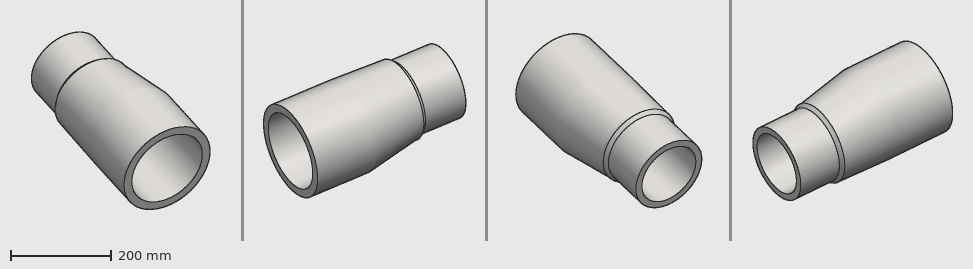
import cadquery as cq

total_length = 373.0
large_diameter = 200.0
small_diameter = 160.0
collar_diameter = 174.0
small_bore = 131.0

small_length = 96.2
chamfer_length = 8.2
collar_length = 7.0
large_length = 138.8

large_bore = large_diameter * small_bore / small_diameter

small_axis_y = -(large_diameter - collar_diameter) / 2

small_end = -total_length / 2
chamfer_start = small_end + small_length
collar_start = chamfer_start + chamfer_length
taper_start = collar_start + collar_length
large_end = total_length / 2
taper_end = large_end - large_length


def pipe_section(x_start, x_end, start_diameter, end_diameter, start_y, end_y):
    """Solid between two circles, each centred at its own Y."""
    return (
        cq.Workplane("YZ", origin=(x_start, 0, 0))
        .center(start_y, 0)
        .circle(start_diameter / 2)
        .workplane(offset=x_end - x_start)
        .center(end_y - start_y, 0)
        .circle(end_diameter / 2)
        .loft(ruled=True)
    )


def rod(x_start, x_end, diameter, axis_y):
    """Straight round solid along X."""
    return (
        cq.Workplane("YZ", origin=(x_start, axis_y, 0))
        .circle(diameter / 2)
        .extrude(x_end - x_start)
    )


outside = (
    rod(small_end, chamfer_start, small_diameter, small_axis_y)
    .union(pipe_section(chamfer_start, collar_start, small_diameter, collar_diameter,
                        small_axis_y, small_axis_y))
    .union(rod(collar_start, taper_start, collar_diameter, small_axis_y))
    .union(pipe_section(taper_start, taper_end, collar_diameter, large_diameter, small_axis_y, 0))
    .union(rod(taper_end, large_end, large_diameter, 0))
)

passage = (
    rod(small_end, taper_start, small_bore, small_axis_y)
    .union(pipe_section(taper_start, taper_end, small_bore, large_bore, small_axis_y, 0))
    .union(rod(taper_end, large_end, large_bore, 0))
)

result = outside.cut(passage)